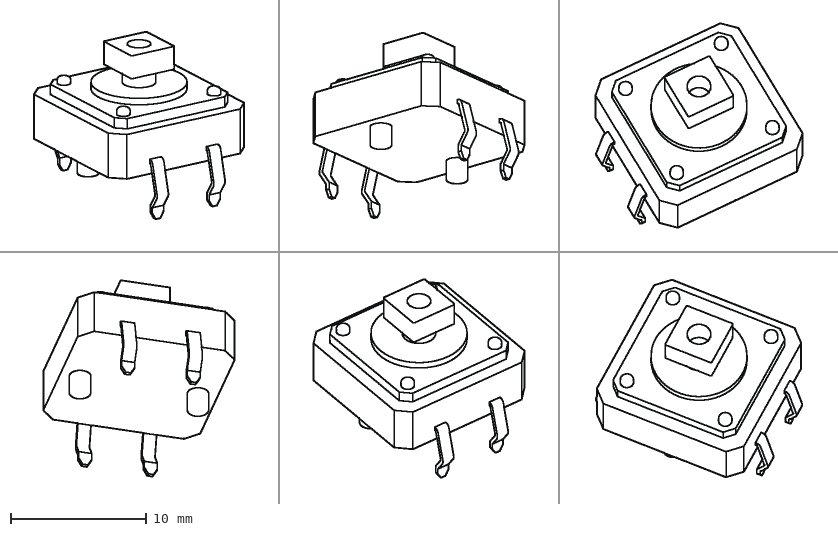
import cadquery as cq
import math

body_width = 12.0
body_height = 3.5
body_corner = 1.0

cover_width = 10.0
cover_height = 0.8
cover_corner = 0.7

rivet_diameter = 1.0
rivet_height = 0.5
rivet_rounding = 0.25
rivet_offset = 4.01

collar_diameter = 7.1
collar_height = 0.5
stem_diameter = 2.5
stem_height = 1.2
cap_width = 3.8
cap_height = 1.8
cap_corner_radius = 0.1
cap_hole_diameter = 1.75
cap_hole_depth = cap_height

peg_diameter = 1.6
peg_length = 1.5
peg_rounding = 0.1
peg_offset = 4.5

overall_width = 14.06
lead_thickness = 0.3
lead_width = 1.0
lead_offset = 2.5
lead_embed = 0.28
lead_top = 1.15
lead_bottom = -3.5
elbow_height = -1.46
bend_inner_radius = 0.1
upper_lean = 15.0
lower_lean = 34.0
foot_gap = 0.1
tip_width = 0.4
tip_length = 0.5

cover_base = body_height
cover_top = cover_base + cover_height
collar_top = cover_top + collar_height
cap_base = collar_top + stem_height
cap_top = cap_base + cap_height


def bevelled_block(width, height, corner, base):
    block = cq.Workplane("XY", origin=(0, 0, base)).rect(width, width).extrude(height)
    return block.edges("|Z").chamfer(corner)


def cylinder(diameter, height, base, x=0, y=0):
    return cq.Workplane("XY", origin=(x, y, base)).circle(diameter / 2).extrude(height)


def rivet(x, y):
    return cylinder(rivet_diameter, rivet_height, cover_top, x, y).faces(">Z").edges().fillet(rivet_rounding)


def peg(y):
    return cylinder(peg_diameter, peg_length, -peg_length, y=y).faces("<Z").edges().fillet(peg_rounding)


def cap():
    block = cq.Workplane("XY", origin=(0, 0, cap_base)).rect(cap_width, cap_width).extrude(cap_height)
    return block.edges("|Z").fillet(cap_corner_radius)


def polar(centre, radius, angle):
    """Point on a circle, with the angle in degrees."""
    turn = math.radians(angle)
    return (centre[0] + radius * math.cos(turn), centre[1] + radius * math.sin(turn))


def lead():
    """Lead on the +X side, centred on Y = 0."""
    face = body_width / 2
    outer_radius = bend_inner_radius + lead_thickness
    inner_radius = bend_inner_radius

    elbow = (overall_width / 2 - outer_radius, elbow_height)
    shoulder_height = lead_top - outer_radius
    shoulder_run = (shoulder_height - elbow_height) * math.tan(math.radians(upper_lean))
    shoulder = (elbow[0] - shoulder_run, shoulder_height)

    def foot_start(radius, x):
        """Point where the lower leg, tangent to the elbow, meets the upright foot."""
        tangent = polar(elbow, radius, -lower_lean)
        return (x, tangent[1] - (tangent[0] - x) / math.tan(math.radians(lower_lean)))

    foot_inside = face + foot_gap
    foot_outside = foot_inside + lead_thickness
    shoulder_middle = (90 + upper_lean) / 2
    elbow_middle = (upper_lean - lower_lean) / 2

    profile = (
        cq.Workplane("XZ")
        .moveTo(face - lead_embed, lead_top)
        .lineTo(*polar(shoulder, outer_radius, 90))
        .threePointArc(polar(shoulder, outer_radius, shoulder_middle), polar(shoulder, outer_radius, upper_lean))
        .lineTo(*polar(elbow, outer_radius, upper_lean))
        .threePointArc(polar(elbow, outer_radius, elbow_middle), polar(elbow, outer_radius, -lower_lean))
        .lineTo(*foot_start(outer_radius, foot_outside))
        .lineTo(foot_outside, lead_bottom)
        .lineTo(foot_inside, lead_bottom)
        .lineTo(*foot_start(inner_radius, foot_inside))
        .lineTo(*polar(elbow, inner_radius, -lower_lean))
        .threePointArc(polar(elbow, inner_radius, elbow_middle), polar(elbow, inner_radius, upper_lean))
        .lineTo(*polar(shoulder, inner_radius, upper_lean))
        .threePointArc(polar(shoulder, inner_radius, shoulder_middle), polar(shoulder, inner_radius, 90))
        .lineTo(face - lead_embed, lead_top - lead_thickness)
        .close()
    )
    strip = profile.extrude(lead_width / 2, both=True)

    taper = (lead_width - tip_width) / 2
    return strip.faces("<Z").edges("|X").chamfer(tip_length, taper)


result = bevelled_block(body_width, body_height, body_corner, 0)
result = result.union(bevelled_block(cover_width, cover_height, cover_corner, cover_base))
result = result.union(cylinder(collar_diameter, collar_height, cover_top))
result = result.union(cylinder(stem_diameter, stem_height, collar_top))
result = result.union(cap())
result = result.cut(cylinder(cap_hole_diameter, cap_hole_depth, cap_top - cap_hole_depth))

for side in (-1, 1):
    result = result.union(peg(side * peg_offset))
    for end in (-1, 1):
        result = result.union(rivet(side * rivet_offset, end * rivet_offset))

right_lead = lead()
for y in (-lead_offset, lead_offset):
    placed_lead = right_lead.translate((0, y, 0))
    result = result.union(placed_lead).union(placed_lead.mirror("YZ"))